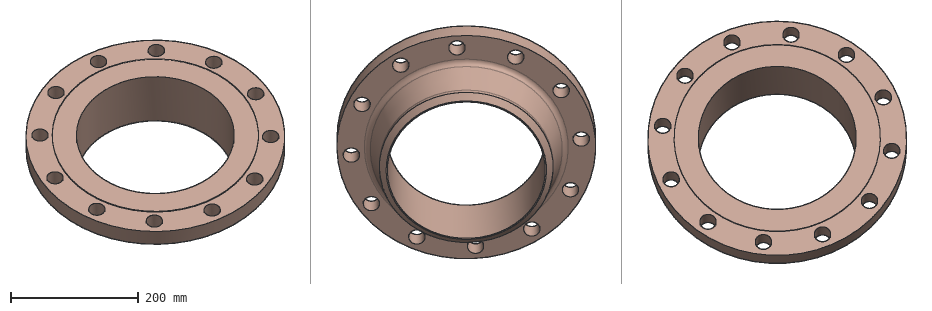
import cadquery as cq

flange_diameter = 406.5
total_height = 103.2

face_diameter = 324.0
face_height = 1.5
plate_thickness = 30.0

hub_top_diameter = 305.5
hub_end_diameter = 273.0
hub_fillet_radius = 9.8
weld_end_height = 7.5
bevel_height = 8.5
bevel_end_diameter = 252.0

bore_diameter = 248.0
bolt_circle_diameter = 362.0
bolt_hole_diameter = 25.5
bolt_count = 12

plate_top = total_height - face_height
plate_bottom = plate_top - plate_thickness
taper_bottom = bevel_height + weld_end_height


def flange_body():
    """Revolve the half section, from the axis outward, about Z."""
    body = (
        cq.Workplane("XZ")
        .moveTo(0, 0)
        .lineTo(bevel_end_diameter / 2, 0)
        .lineTo(hub_end_diameter / 2, bevel_height)
        .lineTo(hub_end_diameter / 2, taper_bottom)
        .lineTo(hub_top_diameter / 2, plate_bottom)
        .lineTo(flange_diameter / 2, plate_bottom)
        .lineTo(flange_diameter / 2, plate_top)
        .lineTo(face_diameter / 2, plate_top)
        .lineTo(face_diameter / 2, total_height)
        .lineTo(0, total_height)
        .close()
        .revolve(360, (0, 0, 0), (0, 1, 0))
    )
    hub_corner = body.edges("%CIRCLE").edges(cq.selectors.RadiusNthSelector(2))
    return hub_corner.fillet(hub_fillet_radius)


def bore():
    return cq.Workplane("XY").circle(bore_diameter / 2).extrude(total_height)


def bolt_holes():
    return (
        cq.Workplane("XY")
        .polarArray(bolt_circle_diameter / 2, 0, 360, bolt_count)
        .circle(bolt_hole_diameter / 2)
        .extrude(total_height)
    )


result = flange_body().cut(bore()).cut(bolt_holes())